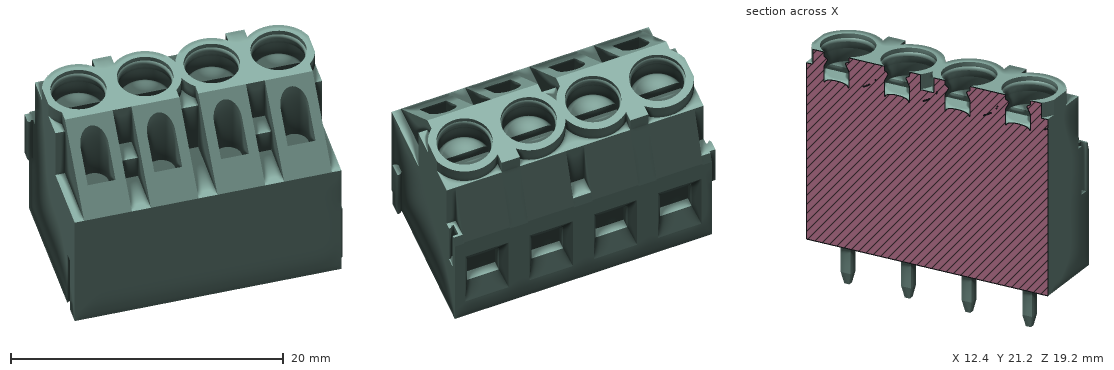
import cadquery as cq
import math


POLE_COUNT = 4
POLES_PER_MODULE = 2
PITCH = 5.08
DEPTH = 12.4
SHOULDER_Z = 10.05
DECK_Z = 14.3
TOP_Z = 15.5
FRONT_EDGE_Z = 9.25
DECK_FRONT_X = 1.6
DECK_BACK_X = 7.17
LENGTH = POLE_COUNT * PITCH
END_Y = LENGTH / 2
MODULE_LENGTH = POLES_PER_MODULE * PITCH
NOTCH_WIDTH = 0.72
POLE_WIDTH = PITCH - 2 * NOTCH_WIDTH
PANEL_FOOT_Z = 9.4
LEDGE_BACK_X = 8.9
LEDGE_Z = (SHOULDER_Z + TOP_Z - (LEDGE_BACK_X - DECK_BACK_X)) / 2

SCREW_X = 4.4
COLLAR_DIAMETER = 5.37
WELL_DIAMETER = 4.15
LIP_DIAMETER = 3.9
LIP_START_DEPTH = 0.35
LIP_THROAT_DEPTH = 0.61
LIP_END_DEPTH = 1.18
HEAD_DEPTH = 2.07
HEAD_ROUNDING = 0.45
SLOT_WIDTH = 0.8
SLOT_DEPTH = 0.85

POCKET_FRONT_X = 7.72
POCKET_BACK_X = 10.65
POCKET_WIDTH = 2.12
SLIT_THICKNESS = 0.23

ENTRY_WIDTH = 3.43
ENTRY_HEIGHT = 5.7
ENTRY_MIDDLE_Z = 4.65
ENTRY_INNER_WIDTH = 2.5
ENTRY_INNER_HEIGHT = 2.75
FUNNEL_DEPTH = 0.78
ENTRY_DEPTH = 1.5

PIN_WIDTH = 0.8
PIN_TIP_WIDTH = 0.42
PIN_SHOULDER_Z = -2.75
PIN_TIP_Z = -3.7

FRONT_RAIL_X = 0.42
FRONT_RAIL_NECK_WIDTH = 0.72
FRONT_RAIL_WIDTH = 0.89
FRONT_RAIL_HEIGHT = 0.45
FRONT_RAIL_NECK_HEIGHT = 0.15
FRONT_RAIL_FLARE_END = 0.27
FRONT_RAIL_BEVEL_WIDTH = 0.15
FRONT_RAIL_BEVEL_HEIGHT = 0.08
FRONT_RAIL_BOTTOM_Z = 6.13
REAR_RAIL_MIDDLE_X = 10.75
REAR_RAIL_NECK_WIDTH = 0.68
REAR_RAIL_WIDTH = 0.97
REAR_RAIL_HEIGHT = 0.4
REAR_RAIL_FLARE_HEIGHT = 0.21
REAR_RAIL_TOP_Z = 5.0


def row_positions(count, spacing):
    """Y positions of equally spaced items centred on Y = 0."""
    return [(i - (count - 1) / 2) * spacing for i in range(count)]


def block(x_range, y_range, z_range):
    """Box between the given limits."""
    size = [end - start for start, end in (x_range, y_range, z_range)]
    corner = (x_range[0], y_range[0], z_range[0])
    return cq.Workplane("XY").box(*size, centered=False).translate(corner)


def side_profile(points, y_middle, width):
    """XZ outline extruded along Y, symmetric about y_middle."""
    plane = cq.Workplane("XZ", origin=(0, y_middle, 0))
    return plane.polyline(points).close().extrude(width / 2, both=True)


def centred(middle, width):
    """Limits of a span about its middle."""
    return (middle - width / 2, middle + width / 2)


def base_housing():
    outline = [
        (0, 0), (DEPTH, 0), (DEPTH, SHOULDER_Z), (DECK_BACK_X, SHOULDER_Z),
        (DECK_BACK_X, DECK_Z), (DECK_FRONT_X, DECK_Z), (0, FRONT_EDGE_Z),
    ]
    return side_profile(outline, 0, LENGTH)


def corner_notches(module_y):
    """Notches in the leaning front face at both sides of a module."""
    notches = cq.Workplane("XY")
    for side in (-1, 1):
        notch_y = module_y + side * (MODULE_LENGTH - NOTCH_WIDTH) / 2
        notches = notches.add(
            block((0, DECK_FRONT_X), centred(notch_y, NOTCH_WIDTH), (SHOULDER_Z, DECK_Z))
        )
    return notches.combine()


def module_top(module_y):
    """Raised top of a module: two collars joined by a front rib and a rear bar."""
    level = (DECK_Z, TOP_Z)
    rib = block((DECK_FRONT_X, DECK_BACK_X), centred(module_y, 2 * NOTCH_WIDTH), level)
    bar_width = MODULE_LENGTH - 2 * NOTCH_WIDTH
    top = rib.union(block((SCREW_X, DECK_BACK_X), centred(module_y, bar_width), level))
    for offset in row_positions(POLES_PER_MODULE, PITCH):
        collar = cq.Workplane("XY", origin=(SCREW_X, module_y + offset, DECK_Z))
        top = top.union(collar.circle(COLLAR_DIAMETER / 2).extrude(TOP_Z - DECK_Z))
    return top.intersect(block((0, DEPTH), centred(module_y, MODULE_LENGTH), level))


def pole_ledge(module_y):
    """Low ledge between the two rear slopes of a module."""
    return block(
        (DECK_BACK_X, LEDGE_BACK_X), centred(module_y, 2 * NOTCH_WIDTH), (SHOULDER_Z, LEDGE_Z)
    )


def front_panel(pole_y):
    outline = [(0, FRONT_EDGE_Z), (DECK_FRONT_X, DECK_Z), (0, PANEL_FOOT_Z)]
    return side_profile(outline, pole_y, POLE_WIDTH)


def rear_slope(pole_y):
    outline = [(DECK_BACK_X, SHOULDER_Z), (DEPTH, SHOULDER_Z), (DECK_BACK_X, TOP_Z)]
    return side_profile(outline, pole_y, POLE_WIDTH)


def screw_well(pole_y):
    """Well with a retaining lip, down to the rounded and slotted screw head."""
    well_radius = WELL_DIAMETER / 2
    lip_radius = LIP_DIAMETER / 2
    throat_z = TOP_Z - LIP_THROAT_DEPTH
    lip_reach = well_radius - lip_radius
    lip_rise = LIP_THROAT_DEPTH - LIP_START_DEPTH
    lip_bulge = (lip_reach**2 + lip_rise**2) / (2 * lip_reach)
    lip_centre = lip_radius + lip_bulge
    mid_angle = math.pi - math.asin(lip_rise / lip_bulge) / 2
    head_z = TOP_Z - HEAD_DEPTH
    flat_radius = well_radius - HEAD_ROUNDING
    rounding_middle = HEAD_ROUNDING * math.sqrt(0.5)
    well = (
        cq.Workplane("XZ")
        .moveTo(0, TOP_Z)
        .lineTo(well_radius, TOP_Z)
        .lineTo(well_radius, TOP_Z - LIP_START_DEPTH)
        .threePointArc(
            (lip_centre + lip_bulge * math.cos(mid_angle), throat_z + lip_bulge * math.sin(mid_angle)),
            (lip_radius, throat_z),
        )
        .lineTo(well_radius, TOP_Z - LIP_END_DEPTH)
        .lineTo(well_radius, head_z - HEAD_ROUNDING)
        .threePointArc(
            (flat_radius + rounding_middle, head_z - HEAD_ROUNDING + rounding_middle),
            (flat_radius, head_z),
        )
        .lineTo(0, head_z)
        .close()
        .revolve(360, (0, 0, 0), (0, 1, 0))
    )
    slot_level = (head_z - SLOT_DEPTH, head_z)
    slot = block(centred(0, SLOT_WIDTH), centred(0, WELL_DIAMETER), slot_level)
    shaft = cq.Workplane("XY", origin=(0, 0, slot_level[0]))
    slot = slot.intersect(shaft.circle(well_radius).extrude(SLOT_DEPTH))
    return well.union(slot).translate((SCREW_X, pole_y, 0))


def test_pocket(pole_y):
    """Round-fronted pocket with a slit at its back wall running through the housing."""
    radius = POCKET_WIDTH / 2
    pocket = (
        cq.Workplane("XY", origin=(0, pole_y, SHOULDER_Z))
        .moveTo(POCKET_BACK_X, -radius)
        .lineTo(POCKET_BACK_X, radius)
        .lineTo(POCKET_FRONT_X + radius, radius)
        .threePointArc((POCKET_FRONT_X, 0), (POCKET_FRONT_X + radius, -radius))
        .close()
        .extrude(TOP_Z - SHOULDER_Z)
    )
    slit_x = (POCKET_BACK_X - SLIT_THICKNESS, POCKET_BACK_X)
    return pocket.union(block(slit_x, centred(pole_y, POCKET_WIDTH), (0, TOP_Z)))


def wire_entry(pole_y):
    """Rectangular funnel narrowing to a straight-sided chamber."""
    entry = cq.Workplane("YZ", origin=(0, pole_y, ENTRY_MIDDLE_Z))
    funnel = (
        entry.rect(ENTRY_WIDTH, ENTRY_HEIGHT)
        .workplane(offset=FUNNEL_DEPTH)
        .rect(ENTRY_INNER_WIDTH, ENTRY_INNER_HEIGHT)
        .loft(ruled=True)
    )
    chamber = entry.rect(ENTRY_INNER_WIDTH, ENTRY_INNER_HEIGHT).extrude(ENTRY_DEPTH)
    return funnel.union(chamber)


def solder_pin(pole_y):
    plane = cq.Workplane("XY", origin=(SCREW_X, pole_y, 0))
    shank = plane.rect(PIN_WIDTH, PIN_WIDTH).extrude(PIN_SHOULDER_Z)
    tip = (
        plane.workplane(offset=PIN_SHOULDER_Z)
        .rect(PIN_WIDTH, PIN_WIDTH)
        .workplane(offset=PIN_TIP_Z - PIN_SHOULDER_Z)
        .rect(PIN_TIP_WIDTH, PIN_TIP_WIDTH)
        .loft(ruled=True)
    )
    return shank.union(tip)


def hook_rail():
    """One-sided hooked rail on the -Y end, with a square outer corner on the hook."""
    neck_x = FRONT_RAIL_X + FRONT_RAIL_NECK_WIDTH
    hook_x = FRONT_RAIL_X + FRONT_RAIL_WIDTH
    outline = [
        (FRONT_RAIL_X, 0), (FRONT_RAIL_X, -FRONT_RAIL_HEIGHT), (hook_x, -FRONT_RAIL_HEIGHT),
        (hook_x, -FRONT_RAIL_FLARE_END), (neck_x, -FRONT_RAIL_NECK_HEIGHT), (neck_x, 0),
    ]
    plane = cq.Workplane("XY", origin=(0, -END_Y, FRONT_RAIL_BOTTOM_Z))
    return plane.polyline(outline).close().extrude(SHOULDER_Z - FRONT_RAIL_BOTTOM_Z)


def bevelled_hook_rail():
    """Hooked rail with the outer corner of its hook bevelled off."""
    hook_x = FRONT_RAIL_X + FRONT_RAIL_WIDTH
    outer_y = -END_Y - FRONT_RAIL_HEIGHT
    corner = [
        (hook_x, outer_y), (hook_x - FRONT_RAIL_BEVEL_WIDTH, outer_y),
        (hook_x, outer_y + FRONT_RAIL_BEVEL_HEIGHT),
    ]
    return hook_rail().cut(cq.Workplane("XY").polyline(corner).close().extrude(SHOULDER_Z))


def rear_rail():
    """Dovetail rail on the +Y end."""
    neck = REAR_RAIL_NECK_WIDTH / 2
    head = REAR_RAIL_WIDTH / 2
    outline = [
        (-neck, 0), (-head, REAR_RAIL_FLARE_HEIGHT), (-head, REAR_RAIL_HEIGHT),
        (head, REAR_RAIL_HEIGHT), (head, REAR_RAIL_FLARE_HEIGHT), (neck, 0),
    ]
    plane = cq.Workplane("XY", origin=(REAR_RAIL_MIDDLE_X, END_Y, 0))
    return plane.polyline(outline).close().extrude(REAR_RAIL_TOP_Z)


pole_positions = row_positions(POLE_COUNT, PITCH)
module_positions = row_positions(POLE_COUNT // POLES_PER_MODULE, MODULE_LENGTH)

result = base_housing()
for y in module_positions:
    result = result.cut(corner_notches(y)).union(module_top(y)).union(pole_ledge(y))
for y in pole_positions:
    result = result.union(front_panel(y)).union(rear_slope(y)).union(solder_pin(y))
    result = result.cut(screw_well(y)).cut(test_pocket(y)).cut(wire_entry(y))

result = result.union(bevelled_hook_rail()).cut(hook_rail().translate((0, LENGTH, 0)))
result = result.union(rear_rail()).cut(rear_rail().translate((0, -LENGTH, 0)))